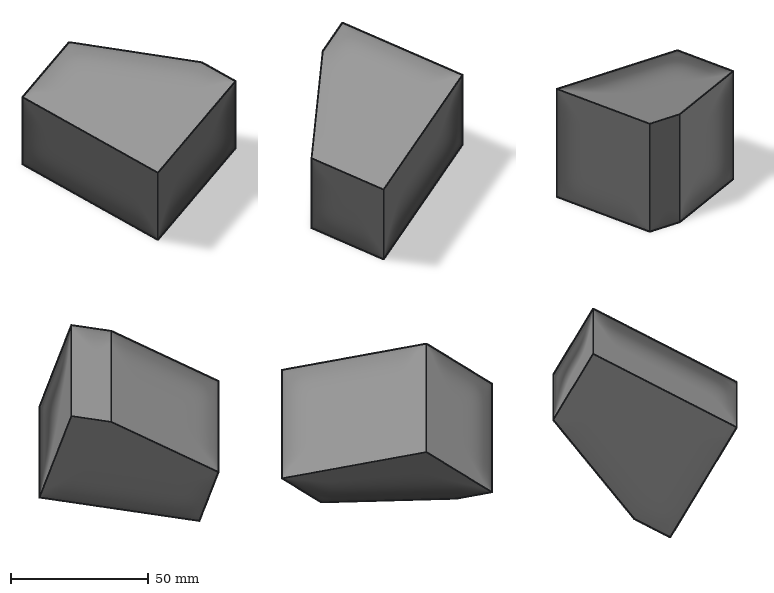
import cadquery as cq

length = 60.0
depth = 50.0
height = 42.0

left_depth = 30.0
back_flat_length = 15.0

outline = [
    (0, 0),
    (length, 0),
    (length, depth),
    (length - back_flat_length, depth),
    (0, left_depth),
]

result = cq.Workplane("XY").polyline(outline).close().extrude(height)